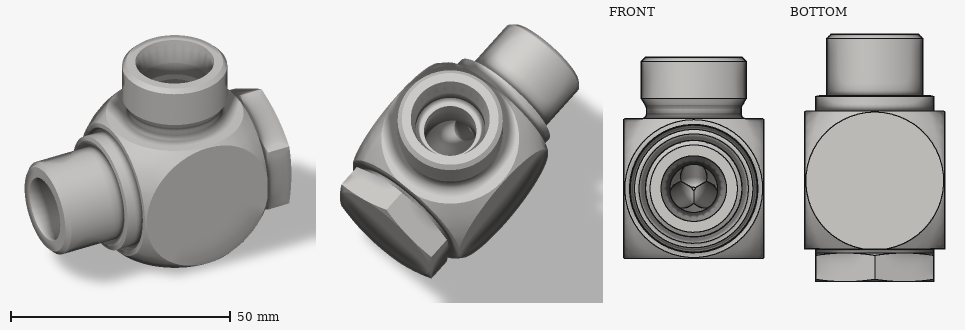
import cadquery as cq
import math


HOUSING_SIZE = 32.0
HALF_SIZE = HOUSING_SIZE / 2
REAR_FACE_Y = 15.5
CORNER_SPHERE_D = 44.85
HOUSING_BORE_D = 22.95
RECESS_D = 29.0
RECESS_MOUTH_CHAMFER = 0.15
RECESS_FILLET = 0.5
RECESS_DEPTH = 1.3

PORT_TOP_Z = 30.0
PORT_D = 24.0
PORT_CHAMFER = 0.95
PORT_THREAD_BOTTOM_Z = 20.6
NECK_D = 21.7
NECK_CONE_ANGLE = 30
NECK_FILLET = 1.0
CONE_MOUTH_D = 18.0
TUBE_SEAT_D = 16.0
CONE_DEPTH = 5.6
TUBE_SEAT_Z = 21.3
PORT_BORE_D = 12.0

BOLT_LENGTH = 56.5
HEAD_SIDES = 6
HEAD_ACROSS_FLATS = 27.0
HEAD_REAR_Y = 23.0
HEAD_SEAT_Y = 16.45
HEAD_CHAMFER_ANGLE = 15
THREAD_D = 22.0
BOLT_FRONT_Y = HEAD_REAR_Y - BOLT_LENGTH
THREAD_CHAMFER = 1.0
WAIST_D = 15.0
WAIST_FILLET = 5.5
WAIST_FILLET_Y = 1.35
FLARE_ANGLE = 30
WAIST_REAR_Y = 9.05
BOLT_BORE_MOUTH_D = 15.0
BOLT_BORE_END_D = 10.9
DRILL_HALF_ANGLE = 59
BOLT_BORE_TIP_Y = -8.0
CROSS_HOLE_D = 6.0
CROSS_HOLE_AXIS_Y = -11.85
CROSS_HOLE_TILT = 30
CROSS_HOLE_LENGTH = 14.1
CROSS_HOLE_COUNT = 3

RING_D = 27.0
RING_BORE_D = 22.1
RIDGE_D = 25.0
RIDGE_OUTER_ANGLE = 12
RIDGE_INNER_ANGLE = 20
FRONT_RING_TIP_Y = -19.5
FRONT_RING_SEAT_Y = RECESS_DEPTH - HALF_SIZE


def tan(degrees):
    return math.tan(math.radians(degrees))


def revolve_profile(profile):
    """Close a half profile and revolve it: about Y if drawn in XY, about Z if drawn in XZ."""
    return profile.close().revolve(360, (0, 0, 0), (0, 1, 0))


def port_outside():
    r = PORT_D / 2
    neck_r = NECK_D / 2
    cone_angle = math.radians(NECK_CONE_ANGLE)
    corner_z = PORT_THREAD_BOTTOM_Z - (r - neck_r) / math.tan(cone_angle)
    fillet_reach = NECK_FILLET * math.tan(cone_angle / 2)
    cone_start = (
        neck_r + fillet_reach * math.sin(cone_angle),
        corner_z + fillet_reach * math.cos(cone_angle),
    )
    return revolve_profile(
        cq.Workplane("XZ")
        .moveTo(0, 0)
        .lineTo(neck_r + NECK_FILLET, 0)
        .lineTo(neck_r + NECK_FILLET, HALF_SIZE)
        .radiusArc((neck_r, HALF_SIZE + NECK_FILLET), NECK_FILLET)
        .lineTo(neck_r, corner_z - fillet_reach)
        .radiusArc(cone_start, NECK_FILLET)
        .lineTo(r, PORT_THREAD_BOTTOM_Z)
        .lineTo(r, PORT_TOP_Z - PORT_CHAMFER)
        .lineTo(r - PORT_CHAMFER, PORT_TOP_Z)
        .lineTo(0, PORT_TOP_Z)
    )


def port_inside():
    mouth_r = CONE_MOUTH_D / 2
    seat_r = TUBE_SEAT_D / 2
    bore_r = PORT_BORE_D / 2
    return revolve_profile(
        cq.Workplane("XZ")
        .moveTo(0, 0)
        .lineTo(bore_r, 0)
        .lineTo(bore_r, TUBE_SEAT_Z)
        .lineTo(seat_r, TUBE_SEAT_Z)
        .lineTo(seat_r, PORT_TOP_Z - CONE_DEPTH)
        .lineTo(mouth_r, PORT_TOP_Z)
        .lineTo(0, PORT_TOP_Z)
    )


def ring_recess():
    """Round recess in the front face that seats the front ring."""
    r = RECESS_D / 2
    face_y = -HALF_SIZE
    floor_y = face_y + RECESS_DEPTH
    return revolve_profile(
        cq.Workplane("XY")
        .moveTo(0, face_y)
        .lineTo(r + RECESS_MOUTH_CHAMFER, face_y)
        .lineTo(r, face_y + RECESS_MOUTH_CHAMFER)
        .lineTo(r, floor_y - RECESS_FILLET)
        .radiusArc((r - RECESS_FILLET, floor_y), -RECESS_FILLET)
        .lineTo(0, floor_y)
    )


def make_housing():
    block = cq.Workplane("XY").box(HOUSING_SIZE, HALF_SIZE + REAR_FACE_Y, HOUSING_SIZE)
    block = block.translate((0, (REAR_FACE_Y - HALF_SIZE) / 2, 0))
    ball = cq.Workplane("XY").sphere(CORNER_SPHERE_D / 2)
    bore = cq.Workplane("XZ").circle(HOUSING_BORE_D / 2).extrude(HOUSING_SIZE, both=True)
    return (
        block.intersect(ball)
        .union(port_outside())
        .cut(port_inside())
        .cut(bore)
        .cut(ring_recess())
    )


def bolt_head():
    """Hexagon with corners on the Z axis and both ends chamfered."""
    corner_d = HEAD_ACROSS_FLATS / math.cos(math.pi / HEAD_SIDES)
    length = HEAD_REAR_Y - HEAD_SEAT_Y
    prism = (
        cq.Workplane("XZ", origin=(0, HEAD_REAR_Y, 0))
        .polygon(HEAD_SIDES, corner_d)
        .extrude(length)
        .rotate((0, 0, 0), (0, 1, 0), 180 / HEAD_SIDES)
    )
    flat_r = HEAD_ACROSS_FLATS / 2
    corner_r = corner_d / 2
    drop = (corner_r - flat_r) * tan(HEAD_CHAMFER_ANGLE)
    envelope = revolve_profile(
        cq.Workplane("XY")
        .moveTo(0, HEAD_SEAT_Y)
        .lineTo(flat_r, HEAD_SEAT_Y)
        .lineTo(corner_r, HEAD_SEAT_Y + drop)
        .lineTo(corner_r, HEAD_REAR_Y - drop)
        .lineTo(flat_r, HEAD_REAR_Y)
        .lineTo(0, HEAD_REAR_Y)
    )
    return prism.intersect(envelope)


def bolt_shank():
    """Threaded shank with a waist that flares out to the thread in front of the port."""
    r = THREAD_D / 2
    waist_r = WAIST_D / 2
    angle = math.radians(FLARE_ANGLE)
    flare_start_r = waist_r + WAIST_FILLET * (1 - math.cos(angle))
    flare_start_y = WAIST_FILLET_Y - WAIST_FILLET * math.sin(angle)
    flare_end_y = flare_start_y - (r - flare_start_r) / math.tan(angle)
    return revolve_profile(
        cq.Workplane("XY")
        .moveTo(0, HEAD_SEAT_Y)
        .lineTo(r, HEAD_SEAT_Y)
        .lineTo(r, WAIST_REAR_Y)
        .lineTo(waist_r, WAIST_REAR_Y)
        .lineTo(waist_r, WAIST_FILLET_Y)
        .radiusArc((flare_start_r, flare_start_y), -WAIST_FILLET)
        .lineTo(r, flare_end_y)
        .lineTo(r, BOLT_FRONT_Y + THREAD_CHAMFER)
        .lineTo(r - THREAD_CHAMFER, BOLT_FRONT_Y)
        .lineTo(0, BOLT_FRONT_Y)
    )


def bolt_bore():
    """Tapered bore from the front end, closed by a drill point."""
    end_y = BOLT_BORE_TIP_Y - BOLT_BORE_END_D / 2 / tan(DRILL_HALF_ANGLE)
    return revolve_profile(
        cq.Workplane("XY")
        .moveTo(0, BOLT_FRONT_Y)
        .lineTo(BOLT_BORE_MOUTH_D / 2, BOLT_FRONT_Y)
        .lineTo(BOLT_BORE_END_D / 2, end_y)
        .lineTo(0, BOLT_BORE_TIP_Y)
    )


def cross_hole(index):
    """Hole from the bore axis, slanting outwards and rearwards; the first one points at the port."""
    start = (0, CROSS_HOLE_AXIS_Y, 0)
    hole = cq.Workplane("XY", origin=start).circle(CROSS_HOLE_D / 2).extrude(CROSS_HOLE_LENGTH)
    hole = hole.rotate(start, (1, CROSS_HOLE_AXIS_Y, 0), -CROSS_HOLE_TILT)
    return hole.rotate((0, 0, 0), (0, 1, 0), index * 360 / CROSS_HOLE_COUNT)


def make_bolt():
    bolt = bolt_head().union(bolt_shank()).cut(bolt_bore())
    for index in range(CROSS_HOLE_COUNT):
        bolt = bolt.cut(cross_hole(index))
    return bolt


def make_ring(ridge_y, seat_y):
    """Sealing ring with a V-shaped ridge in front at ridge_y and a flat rear end at seat_y."""
    outer_drop = (RING_D - RIDGE_D) / 2 * tan(RIDGE_OUTER_ANGLE)
    inner_drop = (RIDGE_D - RING_BORE_D) / 2 * tan(RIDGE_INNER_ANGLE)
    return revolve_profile(
        cq.Workplane("XY")
        .moveTo(RIDGE_D / 2, ridge_y)
        .lineTo(RING_D / 2, ridge_y + outer_drop)
        .lineTo(RING_D / 2, seat_y)
        .lineTo(RING_BORE_D / 2, seat_y)
        .lineTo(RING_BORE_D / 2, ridge_y + inner_drop)
    )


ring_places = [(FRONT_RING_TIP_Y, FRONT_RING_SEAT_Y), (REAR_FACE_Y, HEAD_SEAT_Y)]

housing = make_housing()
bolt = make_bolt()
rings = [make_ring(ridge_y, seat_y) for ridge_y, seat_y in ring_places]

result = cq.Compound.makeCompound([housing.val(), bolt.val(), *[ring.val() for ring in rings]])